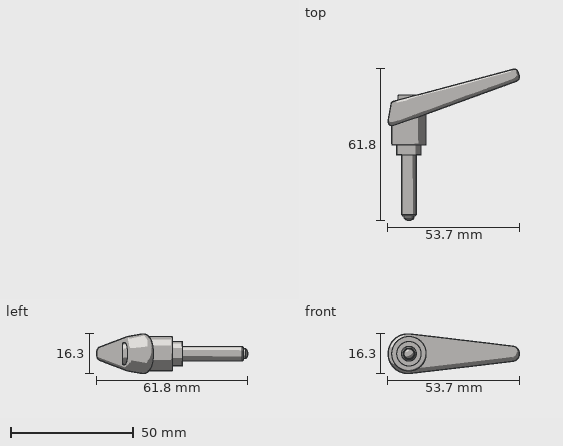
import cadquery as cq
import math


HUB_RADIUS = 7.05
HUB_TOP = 13.6
HUB_FILLET = 0.55
BUTTON_RADIUS = 4.5
BUTTON_TOP = 20.5
BUTTON_FILLET = 0.55

DRAFT_SLOPE = math.tan(math.radians(10.0))
HEAD_BASE_RADIUS = 10.3
TIP_RADIUS_DROP = 2.3
TIP_BASE_X = 47.15
TIP_LEAN = 0.18
LOFT_BOTTOM = 3.1
LOFT_TOP = 38.3
UNDERSIDE_Y = 10.1
UNDERSIDE_ANGLE = 20.0
TOP_Y = 19.6
TOP_ANGLE = 15.0
TOP_FILLET = 1.5
UNDERSIDE_FILLET = 1.9
TRIM_LEFT = -12.35
TRIM_RIGHT = 55.6
TRIM_HALF_WIDTH = 12.35

COLLAR_RADIUS = 5.0
COLLAR_LENGTH = 4.0
SHANK_RADIUS = 3.0
SHANK_LENGTH = 25.0
SHANK_CHAMFER = 0.6
TIP_RADIUS = 2.05
TIP_STRAIGHT = 0.8
DOME_HEIGHT = 0.9


def cylinder_along_y(radius, bottom, top):
    """Cylinder on the Y axis between two heights."""
    return cq.Workplane("XZ", origin=(0, bottom, 0)).circle(radius).extrude(bottom - top)


def arm_section(y):
    """Wire round the head and tip circles and their common tangents at height y."""
    head_radius = HEAD_BASE_RADIUS - DRAFT_SLOPE * y
    tip_radius = head_radius - TIP_RADIUS_DROP
    tip_x = TIP_BASE_X - TIP_LEAN * y
    tangent_x = TIP_RADIUS_DROP / tip_x
    tangent_z = math.sqrt(1 - tangent_x**2)

    def point(centre_x, radius, side):
        return cq.Vector(centre_x + radius * tangent_x, y, side * radius * tangent_z)

    head_upper = point(0, head_radius, 1)
    head_lower = point(0, head_radius, -1)
    tip_upper = point(tip_x, tip_radius, 1)
    tip_lower = point(tip_x, tip_radius, -1)
    head_end = cq.Vector(-head_radius, y, 0)
    tip_end = cq.Vector(tip_x + tip_radius, y, 0)
    return cq.Wire.assembleEdges([
        cq.Edge.makeThreePointArc(head_lower, head_end, head_upper),
        cq.Edge.makeLine(head_upper, tip_upper),
        cq.Edge.makeThreePointArc(tip_upper, tip_end, tip_lower),
        cq.Edge.makeLine(tip_lower, head_lower),
    ])


def sloped_height(axis_y, angle, x):
    """Height at x of a plane that climbs toward +X."""
    return axis_y + x * math.tan(math.radians(angle))


def facing(angle, side):
    """Selector for the sloping face with this climb angle; side is +1 for up, -1 for down."""
    slope = math.radians(angle)
    return cq.DirectionSelector(cq.Vector(-side * math.sin(slope), side * math.cos(slope), 0))


def make_arm():
    sections = [arm_section(LOFT_BOTTOM), arm_section(LOFT_TOP)]
    drafted = cq.Workplane(cq.Solid.makeLoft(sections, True))
    wedge = (
        cq.Workplane("XY")
        .polyline([
            (TRIM_LEFT, sloped_height(UNDERSIDE_Y, UNDERSIDE_ANGLE, TRIM_LEFT)),
            (TRIM_RIGHT, sloped_height(UNDERSIDE_Y, UNDERSIDE_ANGLE, TRIM_RIGHT)),
            (TRIM_RIGHT, sloped_height(TOP_Y, TOP_ANGLE, TRIM_RIGHT)),
            (TRIM_LEFT, sloped_height(TOP_Y, TOP_ANGLE, TRIM_LEFT)),
        ])
        .close()
        .extrude(TRIM_HALF_WIDTH, both=True)
    )
    arm = drafted.intersect(wedge)
    arm = arm.faces(facing(UNDERSIDE_ANGLE, -1)).edges().fillet(UNDERSIDE_FILLET)
    return arm.faces(facing(TOP_ANGLE, 1)).edges().fillet(TOP_FILLET)


def make_lever():
    hub = cylinder_along_y(HUB_RADIUS, 0, HUB_TOP).faces("<Y").edges().fillet(HUB_FILLET)
    button = cylinder_along_y(BUTTON_RADIUS, HUB_TOP, BUTTON_TOP)
    button = button.faces(">Y").edges().fillet(BUTTON_FILLET)
    return make_arm().union(hub).union(button)


def make_stud():
    shank_end = -COLLAR_LENGTH - SHANK_LENGTH
    dome_start = shank_end - TIP_STRAIGHT
    dome_end = dome_start - DOME_HEIGHT
    dome_radius = (TIP_RADIUS**2 + DOME_HEIGHT**2) / (2 * DOME_HEIGHT)
    mid_x = TIP_RADIUS / 2
    mid_y = dome_end + dome_radius - math.sqrt(dome_radius**2 - mid_x**2)
    return (
        cq.Workplane("XY")
        .moveTo(0, 0)
        .lineTo(COLLAR_RADIUS, 0)
        .lineTo(COLLAR_RADIUS, -COLLAR_LENGTH)
        .lineTo(SHANK_RADIUS, -COLLAR_LENGTH)
        .lineTo(SHANK_RADIUS, shank_end + SHANK_CHAMFER)
        .lineTo(SHANK_RADIUS - SHANK_CHAMFER, shank_end)
        .lineTo(TIP_RADIUS, shank_end)
        .lineTo(TIP_RADIUS, dome_start)
        .threePointArc((mid_x, mid_y), (0, dome_end))
        .close()
        .revolve(360, (0, 0, 0), (0, 1, 0))
    )


lever = make_lever()
stud = make_stud()
result = cq.Compound.makeCompound([lever.val(), stud.val()])